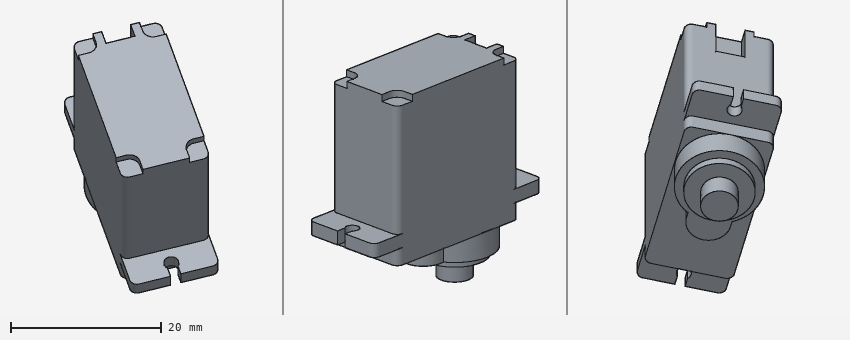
import cadquery as cq

body_length = 23.2
body_width = 12.2
body_height = 24.0
corner_radius = 1.0

flange_length = 32.0
flange_thickness = 2.02
flange_bottom = 2.5
screw_hole_diameter = 2.0
screw_hole_inset = 2.1
screw_slot_width = 1.4

recess_size = 2.85
recess_depth = 1.0
recess_radius = 1.4

notch_depth = 2.0
notch_width = 4.0
notch_height = 6.0

housing_diameter = 12.0
housing_height = 3.8
collar_diameter = 9.5
collar_height = 1.2
shaft_diameter = 5.0
shaft_height = 3.1
output_x = (housing_diameter - body_length) / 2
lobe_radius = 3.02
lobe_x = output_x + housing_diameter / 2


def rounded_block(length, height, bottom):
    """Full-width block with rounded vertical edges."""
    block = cq.Workplane("XY").workplane(offset=bottom).rect(length, body_width).extrude(height)
    return block.edges("|Z").fillet(corner_radius)


def screw_opening(side):
    """Keyhole open to the flange end on the given X side."""
    hole_x = side * (flange_length / 2 - screw_hole_inset)
    plane = cq.Workplane("XY").workplane(offset=flange_bottom)
    hole = plane.center(hole_x, 0).circle(screw_hole_diameter / 2).extrude(flange_thickness)
    slot_x = side * (flange_length - screw_hole_inset) / 2
    slot = plane.center(slot_x, 0).rect(screw_hole_inset, screw_slot_width).extrude(flange_thickness)
    return hole.union(slot)


def corner_recess(side_x, side_y):
    """Shallow square recess with its inner corner rounded."""
    return (
        cq.Workplane("XY")
        .workplane(offset=body_height - recess_depth)
        .center(side_x * body_length / 2, side_y * body_width / 2)
        .rect(2 * recess_size, 2 * recess_size)
        .extrude(recess_depth)
        .edges("|Z")
        .fillet(recess_radius)
    )


def output_disc(diameter, height, top):
    """Disc on the output axis, hanging down from the given level."""
    return cq.Workplane("XY", origin=(output_x, 0, top)).circle(diameter / 2).extrude(-height)


def housing_lobe():
    """Round-ended extension of the gear housing toward +X."""
    lobe = cq.Workplane("XY").center(lobe_x, 0).circle(lobe_radius).extrude(-housing_height)
    bridge = (
        cq.Workplane("XY")
        .center((output_x + lobe_x) / 2, 0)
        .rect(lobe_x - output_x, 2 * lobe_radius)
        .extrude(-housing_height)
    )
    return lobe.union(bridge)


result = rounded_block(body_length, body_height, 0)
result = result.union(rounded_block(flange_length, flange_thickness, flange_bottom))
for side_x in (-1, 1):
    result = result.cut(screw_opening(side_x))
    for side_y in (-1, 1):
        result = result.cut(corner_recess(side_x, side_y))

cable_notch = (
    cq.Workplane("XY", origin=((notch_depth - body_length) / 2, 0, body_height))
    .rect(notch_depth, notch_width)
    .extrude(-notch_height)
)
result = result.cut(cable_notch)

result = result.union(output_disc(housing_diameter, housing_height, 0)).union(housing_lobe())
result = result.union(output_disc(collar_diameter, collar_height, -housing_height))
result = result.union(output_disc(shaft_diameter, shaft_height, -housing_height - collar_height))